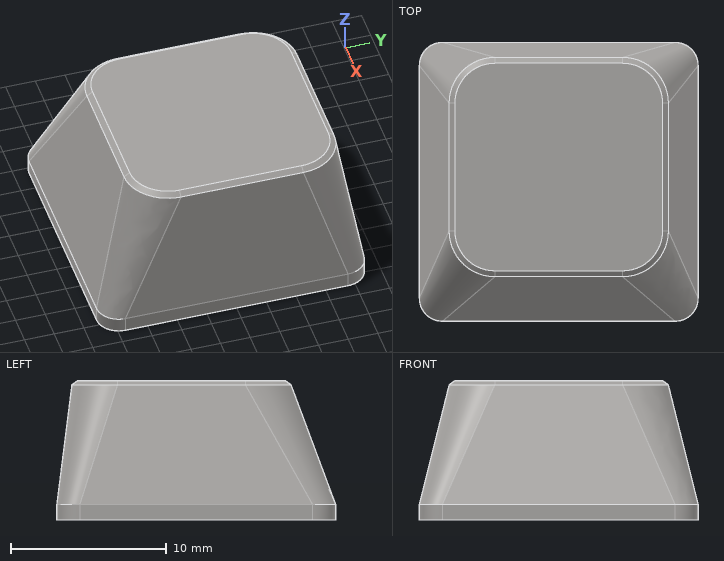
import cadquery as cq

base_size = 18.0
total_height = 9.0
base_corner_radius = 1.5
skirt_height = 1.0

rim_size = 14.15
rim_corner_radius = 2.95
rim_shift_y = 0.95

bevel_height = 0.27
bevel_width = 0.38
rim_height = total_height - bevel_height


def rounded_square(size, radius):
    return cq.Sketch().rect(size, size).vertices().fillet(radius)


def tapered_block(bottom, top, bottom_z, top_z, bottom_y, top_y):
    """Loft between two rounded squares at the given heights and Y centers."""
    return (
        cq.Workplane("XY")
        .placeSketch(
            bottom.moved(cq.Location(cq.Vector(0, bottom_y, bottom_z))),
            top.moved(cq.Location(cq.Vector(0, top_y, top_z))),
        )
        .loft(ruled=True)
    )


base_outline = rounded_square(base_size, base_corner_radius)
rim_outline = rounded_square(rim_size, rim_corner_radius)
top_outline = rounded_square(rim_size - 2 * bevel_width, rim_corner_radius - bevel_width)

skirt = cq.Workplane("XY").placeSketch(base_outline).extrude(skirt_height)
body = tapered_block(base_outline, rim_outline, skirt_height, rim_height, 0, rim_shift_y)
bevel = tapered_block(rim_outline, top_outline, rim_height, total_height, rim_shift_y, rim_shift_y)

result = skirt.union(body).union(bevel)